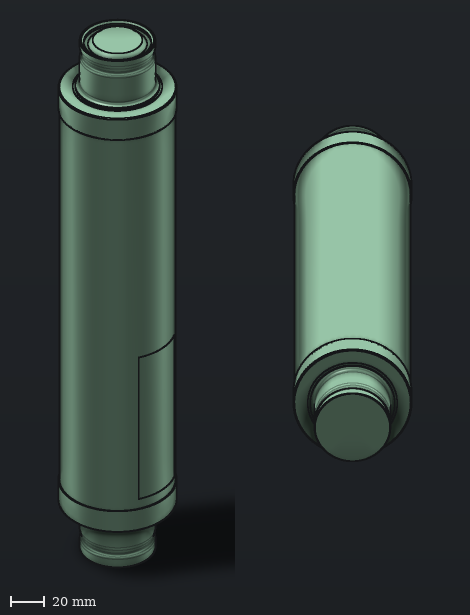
import cadquery as cq
import math

length = 358.0
collar_radius = 35.0
body_radius = 34.5
spigot_radius = 22.5

spigot_length = 33.0
spigot_chamfer = 0.5
collar_height = 15.0
collar_chamfer = 0.7
seat_radius = 26.5
seat_height = 0.5
shoulder_height = 1.0
root_fillet = 2.5

groove_upper_flank = 4.3
groove_lower_flank = 3.2
groove_floor = 0.7
groove_depth = 0.9
groove_width = groove_upper_flank + groove_floor + groove_lower_flank
top_groove_inset = 4.0
bottom_groove_inset = 6.0

socket_radius = 20.0
socket_depth = 3.0
socket_chamfer = 1.5
plug_top_radius = 14.5
plug_base_radius = 17.5

plate_height = 100.0
plate_bottom = 54.8
plate_edge_x = 30.5
plate_thickness = 0.1


def revolved(profile):
    """Turn a radius-height profile drawn on the -X side about the Z axis."""
    return profile.close().revolve(360, (0, 0, 0), (0, 1, 0))


def flank_points(lip_height, floor_height):
    """Points of an S-shaped flank: middle of the lip arc, the bend, middle of the foot arc."""
    rise = floor_height - lip_height
    slope = 2 * math.atan(groove_depth / abs(rise))
    along = rise * math.sin(slope / 2) / (2 * math.sin(slope))
    inward = abs(rise) * (1 - math.cos(slope / 2)) / (2 * math.sin(slope))
    floor_radius = spigot_radius - groove_depth
    return (
        (-spigot_radius + inward, lip_height + along),
        (-spigot_radius + groove_depth / 2, lip_height + rise / 2),
        (-floor_radius - inward, floor_height - along),
    )


def spigot_groove(bottom):
    """Ring that cuts a groove with rounded lips and a rounded bottom."""
    top = bottom + groove_width
    floor_bottom = bottom + groove_lower_flank
    floor_top = floor_bottom + groove_floor
    floor_radius = spigot_radius - groove_depth
    outside = spigot_radius + groove_depth
    lower_lip, lower_bend, lower_foot = flank_points(bottom, floor_bottom)
    upper_lip, upper_bend, upper_foot = flank_points(top, floor_top)
    return revolved(
        cq.Workplane("XZ")
        .moveTo(-outside, bottom)
        .lineTo(-spigot_radius, bottom)
        .threePointArc(lower_lip, lower_bend)
        .threePointArc(lower_foot, (-floor_radius, floor_bottom))
        .lineTo(-floor_radius, floor_top)
        .threePointArc(upper_foot, upper_bend)
        .threePointArc(upper_lip, (-spigot_radius, top))
        .lineTo(-outside, top)
    )


def lower_half():
    """Lower half of the turned body: spigot, root fillet, shoulder, seat, collar and tube."""
    seat_face = spigot_length - seat_height
    fillet_edge = spigot_radius + root_fillet
    shoulder_face = seat_face - shoulder_height
    fillet_start = shoulder_face - root_fillet
    bend = root_fillet * math.sqrt(0.5)
    collar_top = spigot_length + collar_height
    return revolved(
        cq.Workplane("XZ")
        .moveTo(0, 0)
        .lineTo(-spigot_radius + spigot_chamfer, 0)
        .lineTo(-spigot_radius, spigot_chamfer)
        .lineTo(-spigot_radius, fillet_start)
        .threePointArc((-fillet_edge + bend, fillet_start + bend), (-fillet_edge, shoulder_face))
        .lineTo(-fillet_edge, seat_face)
        .lineTo(-seat_radius, seat_face)
        .lineTo(-seat_radius, spigot_length)
        .lineTo(-collar_radius + collar_chamfer, spigot_length)
        .lineTo(-collar_radius, spigot_length + collar_chamfer)
        .lineTo(-collar_radius, collar_top)
        .lineTo(-body_radius, collar_top)
        .lineTo(-body_radius, length / 2)
        .lineTo(0, length / 2)
    )


def socket():
    """Ring-shaped recess left between the spigot rim and the tapered plug."""
    floor = length - socket_depth
    return revolved(
        cq.Workplane("XZ")
        .moveTo(-plug_top_radius, length)
        .lineTo(-plug_base_radius, floor)
        .lineTo(-socket_radius, floor)
        .lineTo(-socket_radius, length - socket_chamfer)
        .lineTo(-socket_radius - socket_chamfer, length)
    )


def nameplate():
    """Thin curved plate that follows the body on its +X side."""
    plate_radius = body_radius + plate_thickness
    band = cq.Workplane("XY").workplane(offset=plate_bottom).circle(plate_radius).extrude(plate_height)
    keep = (
        cq.Workplane("XY")
        .workplane(offset=plate_bottom)
        .rect(2 * plate_radius, 2 * plate_radius)
        .extrude(plate_height)
        .translate((plate_edge_x + plate_radius, 0, 0))
    )
    return band.intersect(keep)


half = lower_half()
result = half.union(half.mirror("XY").translate((0, 0, length)), clean=True)
result = result.union(nameplate())
result = result.cut(spigot_groove(bottom_groove_inset))
result = result.cut(spigot_groove(length - top_groove_inset - groove_width))
result = result.cut(socket())